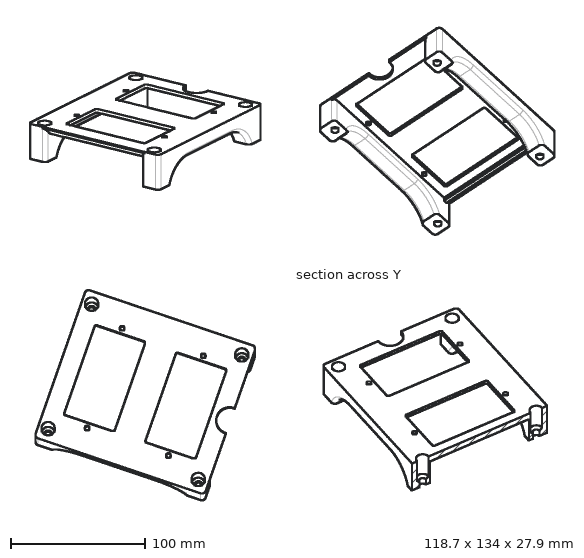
import cadquery as cq
import math

WIDTH = 118.72
DEPTH = 134.0
HEIGHT = 27.9
EDGE_RADIUS = 3.0

DECK_THICKNESS = 3.0
SIDE_WALL = 15.9

BEAM_HEIGHT = 6.3
BEAM_LIP = 1.1
BEAM_DEPTH = 8.0

ARCH_HEIGHT = 15.6
ARCH_FLAT_HALF = 28.4
ARCH_RADIUS = 24.0

WINDOW_WIDTH = 72.0
WINDOW_DEPTH = 39.8
WINDOW_RADIUS = 1.5
WINDOW_OFFSET = 32.0
WINDOW_SCREW_DIAMETER = 3.5
WINDOW_SCREW_SPACING = 80.0

LEG_HOLE_SPACING_X = 99.8
LEG_HOLE_FRONT_MARGIN = 7.6
LEG_HOLE_BACK_MARGIN = 8.1
LEG_HOLE_DIAMETER = 5.5
HEAD_DIAMETER = 10.0
HEAD_DEPTH = 20.0
HEAD_CONE_DEPTH = (HEAD_DIAMETER - LEG_HOLE_DIAMETER) / 2

NOTCH_RADIUS = 10.0
NOTCH_INSET = 0.5

BACK = DEPTH / 2
FRONT = -DEPTH / 2
DECK_UNDERSIDE = HEIGHT - DECK_THICKNESS


def make_side_wall(direction):
    """Upright wall along one side (direction -1 or 1), with rounded corners and arch edges."""
    center_x = direction * (WIDTH - SIDE_WALL) / 2
    wall = cq.Workplane("XY").center(center_x, 0).box(SIDE_WALL, DEPTH, HEIGHT, centered=(True, True, False))
    wall = wall.edges("|Z").fillet(EDGE_RADIUS).cut(make_arch())
    arch_outlines = cq.selectors.BoxSelector(
        (-WIDTH, FRONT + EDGE_RADIUS, EDGE_RADIUS),
        (WIDTH, BACK - EDGE_RADIUS, ARCH_HEIGHT + EDGE_RADIUS),
    )
    return wall.edges(arch_outlines).fillet(EDGE_RADIUS)


def make_arch():
    """Flat-topped arch, running along X through both side walls."""
    center_z = ARCH_HEIGHT - ARCH_RADIUS
    foot_half = ARCH_FLAT_HALF + math.sqrt(ARCH_RADIUS**2 - center_z**2)
    mid_angle = (math.pi / 2 + math.asin(-center_z / ARCH_RADIUS)) / 2
    mid_y = ARCH_FLAT_HALF + ARCH_RADIUS * math.cos(mid_angle)
    mid_z = center_z + ARCH_RADIUS * math.sin(mid_angle)
    return (
        cq.Workplane("YZ")
        .moveTo(-foot_half, 0)
        .threePointArc((-mid_y, mid_z), (-ARCH_FLAT_HALF, ARCH_HEIGHT))
        .lineTo(ARCH_FLAT_HALF, ARCH_HEIGHT)
        .threePointArc((mid_y, mid_z), (foot_half, 0))
        .close()
        .extrude(WIDTH / 2, both=True)
    )


def make_deck():
    """Plate between the walls, with a front beam whose face slopes back at 45 degrees."""
    beam_bottom = HEIGHT - BEAM_HEIGHT
    beam_back = FRONT + BEAM_DEPTH
    slope_back = FRONT + BEAM_HEIGHT - BEAM_LIP
    profile = [
        (FRONT, HEIGHT),
        (FRONT, HEIGHT - BEAM_LIP),
        (slope_back, beam_bottom),
        (beam_back, beam_bottom),
        (beam_back, DECK_UNDERSIDE),
        (BACK, DECK_UNDERSIDE),
        (BACK, HEIGHT),
    ]
    deck_half_width = WIDTH / 2 - SIDE_WALL + EDGE_RADIUS
    return cq.Workplane("YZ").polyline(profile).close().extrude(deck_half_width, both=True)


def make_windows():
    """Two rounded rectangular openings, each with its pair of screw holes."""
    centers = [(0, -WINDOW_OFFSET), (0, WINDOW_OFFSET)]
    windows = cq.Workplane("XY").pushPoints(centers).rect(WINDOW_WIDTH, WINDOW_DEPTH).extrude(HEIGHT)
    windows = windows.edges("|Z").fillet(WINDOW_RADIUS)
    screws = (
        cq.Workplane("XY")
        .rect(WINDOW_SCREW_SPACING, 2 * WINDOW_OFFSET, forConstruction=True)
        .vertices()
        .circle(WINDOW_SCREW_DIAMETER / 2)
        .extrude(HEIGHT)
    )
    return windows.union(screws)


def make_leg_holes():
    """Through holes with a deep screw-head bore ending in a conical seat."""
    head_radius = HEAD_DIAMETER / 2
    hole_radius = LEG_HOLE_DIAMETER / 2
    seat_top = HEIGHT - HEAD_DEPTH
    bore = (
        cq.Workplane("XZ")
        .lineTo(hole_radius, 0)
        .lineTo(hole_radius, seat_top - HEAD_CONE_DEPTH)
        .lineTo(head_radius, seat_top)
        .lineTo(head_radius, HEIGHT)
        .lineTo(0, HEIGHT)
        .close()
        .revolve(360, (0, 0), (0, 1))
    )
    bores = cq.Workplane("XY")
    for x in (-LEG_HOLE_SPACING_X / 2, LEG_HOLE_SPACING_X / 2):
        for y in (FRONT + LEG_HOLE_FRONT_MARGIN, BACK - LEG_HOLE_BACK_MARGIN):
            bores = bores.union(bore.translate((x, y, 0)))
    return bores


def make_notch():
    """Round cutter centred just inside the back edge, leaving a cable notch."""
    return cq.Workplane("XY").center(0, BACK - NOTCH_INSET).circle(NOTCH_RADIUS).extrude(HEIGHT)


body = make_deck().union(make_side_wall(-1)).union(make_side_wall(1))
result = body.cut(make_windows()).cut(make_leg_holes()).cut(make_notch())